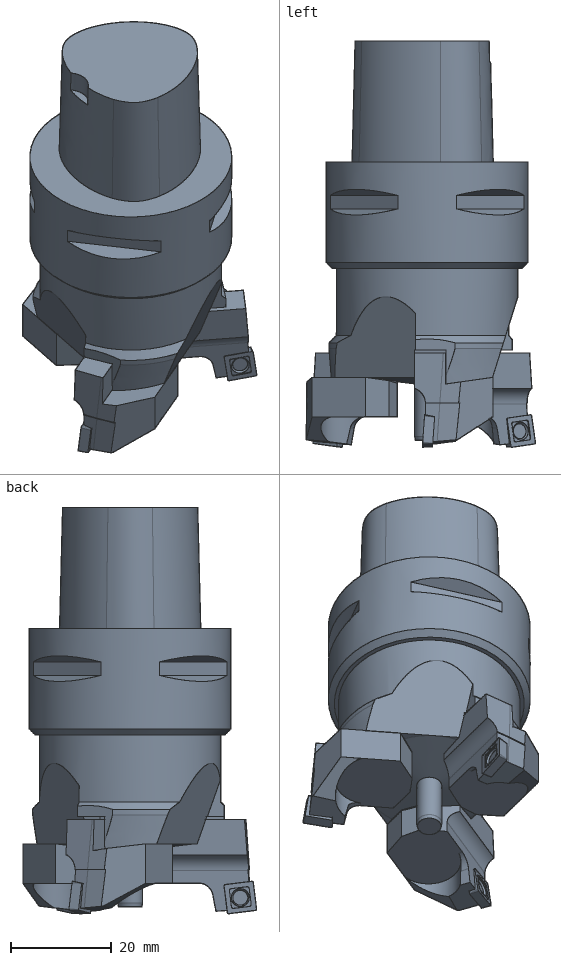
import cadquery as cq
import math


REACH = 161.1

TOTAL_HEIGHT = 80.6
FLANGE_TOP = 56.55
FLANGE_BOTTOM = 35.45
NECK_BOTTOM = 22.15
COLLAR_TOP = 20.7
COLLAR_TAPER_TOP = 19.6
RIM_BOTTOM = 13.85

FLANGE_RADIUS = 40.0 / 2
NECK_RADIUS = 36.0 / 2
COLLAR_RADIUS = 19.5
RIM_RADIUS = 18.85
FLANGE_CHAMFER = 1.2
CEILING_RADIUS = 13.0
CEILING_APEX = 12.25
BLANK_BOTTOM = 11.7

SHANK_RADIUS = 14.0
SHANK_LOBE = 0.9
SHANK_TAPER = 0.605
SHANK_FACES = 6
FACE_POINTS = 7
NOTCH_RADIUS = 4.0
NOTCH_CENTRE_Y = -15.1
NOTCH_DEPTH = 4.2

GROOVE_COUNT = 4
GROOVE_FLOOR_RADIUS = 17.65
GROOVE_MIDDLE = 48.6
GROOVE_FLOOR_HEIGHT = 2.65
GROOVE_MOUTH_HEIGHT = 5.1

PIN_RADIUS = 5.0 / 2
PIN_BOTTOM = 1.4
PIN_CHAMFER_HEIGHT = 0.8
PIN_CHAMFER_WIDTH = 0.2
PIN_ROOT = 0.8

TOOTH_ANGLES = (0.0, 123.1, 243.1)
FLUTE_WALL_Y = 2.25
FLUTE_SLOPE = 17.5

RAKE_Y = 2.5
RAKE_INNER_X = -8.4
BACK_Y = -13.05
BACK_OUTER_X = -18.9
BACK_INNER_X = -7.1
END_X = -4.3
END_BACK_Y = -8.4
END_RAKE_Y = -4.6
SIDE_X = -23.1
SIDE_Y = -7.0
OUTER_TOP_X = -22.95
OUTER_TILT = 4.0
CREASE_Y = -3.2
CREASE_TURN = 3.0
AXIAL_TILT = 4.0
PLATE_TOP = 18.7
PLATE_BACK_Y = -3.6
SHOULDER_TILT = 8.0
GULLET_RADIUS = 3.2
GULLET_END = 8.6
SEAT_FACE_Y = 0.3
LAND_TOP = 8.8
LAND_DEPTH = 0.2
BASE_Z = 0.5
BASE_TILT = 5.0
BASE_RISE = 4.0
BACK_BOTTOM = 6.05
UNDERCUT_TILT = 33.0
SCOOP_FOOT_X = -17.1
SCOOP_BEND_X = -16.35
SCOOP_BEND_Z = 3.8
SCOOP_TOP_X = -13.7
SCOOP_RADIUS = 6.45
SCOOP_CENTRE_X = -12.9
SCOOP_CENTRE_Y = -6.85

FLAT_X = -18.7
TOP_GAP = 0.6
BACK_GAP = 0.2

INSERT_SIZE = 5.9
INSERT_THICKNESS = 2.0
INSERT_CORNER = 0.3
INSERT_RELIEF = 7.0
INSERT_TURN = 7.0
INSERT_CENTRE = (-21.8, 0.7, 3.2)
BREAKER_SIZE = 3.95
BREAKER_CORNER = 0.4
BREAKER_DEPTH = 0.25
SINK_RADIUS = 1.8
SINK_DEPTH = 0.4
SINK_TAPER = 35.0


def half_space(origin, normal):
    """Large block that lies on the side of a plane to which its normal points."""
    plane = cq.Plane(origin=origin, normal=normal)
    return cq.Workplane(plane).rect(REACH, REACH).extrude(REACH)


def sine(angle):
    return math.sin(math.radians(angle))


def cosine(angle):
    return math.cos(math.radians(angle))


def tangent(angle):
    return math.tan(math.radians(angle))


def turned(shape, angle):
    """Shape turned about the cutter axis."""
    return shape.rotate((0, 0, 0), (0, 0, 1), angle)



def shank_point(angle, radius, height):
    """Point of the rounded-triangle outline whose normal has the given angle."""
    lobe_angle = 3 * (angle - 90)
    support = radius + SHANK_LOBE * cosine(lobe_angle)
    slope = -3 * SHANK_LOBE * sine(lobe_angle)
    x = support * cosine(angle) - slope * sine(angle)
    y = support * sine(angle) + slope * cosine(angle)
    return cq.Vector(x, y, height)


def shank_wire(radius, height):
    """Closed shank outline at one height, one curve for each face."""
    step = 360 / SHANK_FACES
    edges = []
    for face in range(SHANK_FACES):
        angles = [step * (face + i / (FACE_POINTS - 1)) for i in range(FACE_POINTS)]
        edges.append(cq.Edge.makeSpline([shank_point(a, radius, height) for a in angles]))
    return cq.Wire.assembleEdges(edges)


def make_shank():
    """Tapered rounded-triangle shank with a locating notch in its top end."""
    base = shank_wire(SHANK_RADIUS, FLANGE_TOP)
    top = shank_wire(SHANK_RADIUS - SHANK_TAPER, TOTAL_HEIGHT)
    shank = cq.Workplane(cq.Solid.makeLoft([base, top], True))
    notch = (
        cq.Workplane("XY", origin=(0, NOTCH_CENTRE_Y, TOTAL_HEIGHT - NOTCH_DEPTH))
        .circle(NOTCH_RADIUS)
        .extrude(2 * NOTCH_DEPTH)
    )
    return shank.cut(notch)


def make_turned_blank():
    """Flange, neck and collar as one solid of revolution."""
    return (
        cq.Workplane("XZ")
        .moveTo(0, FLANGE_TOP)
        .lineTo(FLANGE_RADIUS, FLANGE_TOP)
        .lineTo(FLANGE_RADIUS, FLANGE_BOTTOM + FLANGE_CHAMFER)
        .lineTo(FLANGE_RADIUS - FLANGE_CHAMFER, FLANGE_BOTTOM)
        .lineTo(NECK_RADIUS, FLANGE_BOTTOM)
        .lineTo(NECK_RADIUS, NECK_BOTTOM)
        .lineTo(COLLAR_RADIUS, COLLAR_TOP)
        .lineTo(COLLAR_RADIUS, COLLAR_TAPER_TOP)
        .lineTo(RIM_RADIUS, BLANK_BOTTOM)
        .lineTo(0, BLANK_BOTTOM)
        .close()
        .revolve(360, (0, 0), (0, 1))
    )


def make_groove():
    """Wedge-sided groove across the flange, on the +X side."""
    floor = GROOVE_FLOOR_HEIGHT / 2
    mouth = GROOVE_MOUTH_HEIGHT / 2
    return (
        cq.Workplane("XZ", origin=(0, 0, GROOVE_MIDDLE))
        .moveTo(GROOVE_FLOOR_RADIUS, floor)
        .lineTo(FLANGE_RADIUS, mouth)
        .lineTo(FLANGE_RADIUS, -mouth)
        .lineTo(GROOVE_FLOOR_RADIUS, -floor)
        .close()
        .extrude(FLANGE_RADIUS, both=True)
    )


def make_ceiling_space():
    """Space under the shallow cone that roofs the gaps between the cartridges."""
    space = (
        cq.Workplane("XZ")
        .moveTo(0, CEILING_APEX)
        .lineTo(CEILING_RADIUS, RIM_BOTTOM)
        .lineTo(FLANGE_RADIUS, RIM_BOTTOM)
        .lineTo(FLANGE_RADIUS, 0)
        .lineTo(0, 0)
        .close()
        .revolve(360, (0, 0), (0, 1))
    )
    for angle in TOOTH_ANGLES:
        space = space.cut(turned(make_foot_prism(), angle))
    return space


def make_flute(back_angle, rake_angle):
    """Chip space from the back of one cartridge to the rake face of the next, run out upwards."""
    slope = half_space((0, -CEILING_RADIUS, RIM_BOTTOM), (0, -cosine(FLUTE_SLOPE), -sine(FLUTE_SLOPE)))
    wall = half_space((0, FLUTE_WALL_Y, 0), (0, 1, 0))
    return turned(slope, back_angle).intersect(turned(wall, rake_angle))


def make_cartridge_pocket():
    """Flat on the collar and the clearance behind and above the cartridge plate."""
    flat = half_space((FLAT_X, 0, 0), (-1, 0, 0)).intersect(half_space((0, 0, NECK_BOTTOM), (0, 0, -1)))
    slot_back = PLATE_BACK_Y - BACK_GAP
    slot = (
        cq.Workplane("XY")
        .center((RAKE_INNER_X + OUTER_TOP_X) / 2, (RAKE_Y + slot_back) / 2)
        .rect(RAKE_INNER_X - OUTER_TOP_X, RAKE_Y - slot_back)
        .extrude(PLATE_TOP + TOP_GAP)
        .cut(half_space(*shoulder_plane(-1)))
    )
    return flat.union(slot)


def make_pin():
    pin_height = CEILING_APEX + PIN_ROOT - PIN_BOTTOM
    return (
        cq.Workplane("XY", origin=(0, 0, PIN_BOTTOM))
        .circle(PIN_RADIUS)
        .extrude(pin_height)
        .faces("<Z")
        .chamfer(PIN_CHAMFER_HEIGHT, PIN_CHAMFER_WIDTH)
    )


def make_body(cartridge):
    body = make_turned_blank().union(make_shank())
    for index in range(GROOVE_COUNT):
        body = body.cut(turned(make_groove(), 360 / GROOVE_COUNT * (index + 0.5)))
    body = body.cut(make_ceiling_space())
    for index, angle in enumerate(TOOTH_ANGLES):
        body = body.cut(make_flute(TOOTH_ANGLES[index - 1], angle))
        body = body.cut(turned(make_cartridge_pocket(), angle))
        body = body.cut(turned(cartridge, angle))
    return body.union(make_pin())



def make_foot_prism():
    """Full-height prism over the plan outline of a cartridge."""
    outer = OUTER_TOP_X - PLATE_TOP * tangent(OUTER_TILT)
    side_slope = (BACK_Y - SIDE_Y) / (BACK_OUTER_X - SIDE_X)
    outline = [
        (RAKE_INNER_X, RAKE_Y),
        (outer, RAKE_Y),
        (outer, SIDE_Y + side_slope * (outer - SIDE_X)),
        (BACK_OUTER_X, BACK_Y),
        (BACK_INNER_X, BACK_Y),
        (END_X, END_BACK_Y),
        (END_X, END_RAKE_Y),
    ]
    return cq.Workplane("XY").polyline(outline).close().extrude(PLATE_TOP)


def shoulder_plane(side):
    """Origin and normal of the sloped shoulder behind the plate; side +1 faces up."""
    return (0, BACK_Y, RIM_BOTTOM), (0, side * sine(SHOULDER_TILT), side * cosine(SHOULDER_TILT))


def make_gullet():
    """Space in front of the recessed seat face, rounded off into the rake face above."""
    centre_y = SEAT_FACE_Y + GULLET_RADIUS
    front_y = centre_y + GULLET_RADIUS
    return (
        cq.Workplane("YZ")
        .moveTo(SEAT_FACE_Y, 0)
        .lineTo(SEAT_FACE_Y, GULLET_END)
        .threePointArc((centre_y, GULLET_END + GULLET_RADIUS), (front_y, GULLET_END))
        .lineTo(front_y, 0)
        .close()
        .extrude(-REACH)
    )


def make_scoop():
    """Chip clearance under the inner part of a cartridge."""
    wall = (
        cq.Workplane("XZ")
        .moveTo(0, 0)
        .lineTo(SCOOP_FOOT_X, 0)
        .lineTo(SCOOP_BEND_X, SCOOP_BEND_Z)
        .tangentArcPoint((SCOOP_TOP_X, BACK_BOTTOM), relative=False)
        .lineTo(0, BACK_BOTTOM)
        .close()
        .extrude(REACH, both=True)
    )
    bay = (
        cq.Workplane("XY", origin=(SCOOP_CENTRE_X, SCOOP_CENTRE_Y, 0))
        .circle(SCOOP_RADIUS)
        .extrude(BACK_BOTTOM)
    )
    return wall.union(bay)


def outside_space(depth):
    """Space outside the leaning outer face and its turned front facet, both moved in by a depth."""
    lean = (-cosine(OUTER_TILT), 0, sine(OUTER_TILT))
    turn = tangent(CREASE_TURN)
    facet = (lean[0], turn * cosine(AXIAL_TILT), lean[2] + turn * sine(AXIAL_TILT))
    crease_top = (OUTER_TOP_X + depth, CREASE_Y, PLATE_TOP)
    return half_space(crease_top, lean).union(half_space(crease_top, facet))


def make_cartridge():
    cartridge = make_foot_prism()
    shoulder = half_space(*shoulder_plane(1)).intersect(half_space((0, PLATE_BACK_Y, 0), (0, -1, 0)))
    cartridge = cartridge.cut(shoulder)
    below_land = half_space((0, 0, LAND_TOP), (0, 0, -1))
    cartridge = cartridge.cut(outside_space(0))
    cartridge = cartridge.cut(outside_space(LAND_DEPTH).intersect(below_land))
    cartridge = cartridge.cut(make_gullet())
    cartridge = cartridge.cut(make_scoop())
    base = half_space((SCOOP_FOOT_X, SEAT_FACE_Y, BASE_Z), (-tangent(BASE_RISE), -tangent(BASE_TILT), -1))
    undercut = half_space((0, BACK_Y, BACK_BOTTOM), (0, -sine(UNDERCUT_TILT), -cosine(UNDERCUT_TILT)))
    cartridge = cartridge.cut(base).cut(undercut)
    return cartridge.cut(make_insert_blank())



def insert_plane():
    """Plane of the insert's rake face: leans forward at the bottom and is turned outwards."""
    normal = (0, cosine(AXIAL_TILT), sine(AXIAL_TILT))
    plane = cq.Plane(origin=INSERT_CENTRE, xDir=(-1, 0, 0), normal=normal)
    return plane.rotated((0, 0, INSERT_TURN))


def make_insert_blank():
    """Square plate that narrows away from its rake face."""
    sketch = cq.Sketch().rect(INSERT_SIZE, INSERT_SIZE).vertices().fillet(INSERT_CORNER)
    return cq.Workplane(insert_plane()).placeSketch(sketch).extrude(-INSERT_THICKNESS, taper=INSERT_RELIEF)


def make_insert():
    """Insert with a square chip-breaker recess and a conical blind recess in its middle."""
    breaker = cq.Sketch().rect(BREAKER_SIZE, BREAKER_SIZE).vertices().fillet(BREAKER_CORNER)
    recess = cq.Workplane(insert_plane()).placeSketch(breaker).extrude(-BREAKER_DEPTH)
    sink = (
        cq.Workplane(insert_plane())
        .workplane(offset=-BREAKER_DEPTH)
        .circle(SINK_RADIUS)
        .extrude(-SINK_DEPTH, taper=SINK_TAPER)
    )
    return make_insert_blank().cut(recess).cut(sink)


cartridge = make_cartridge()
insert = make_insert()
body = make_body(cartridge)
cartridges = [turned(cartridge, angle) for angle in TOOTH_ANGLES]
inserts = [turned(insert, angle) for angle in TOOTH_ANGLES]

result = cq.Compound.makeCompound(
    [body.val(), *[part.val() for part in cartridges], *[part.val() for part in inserts]]
)